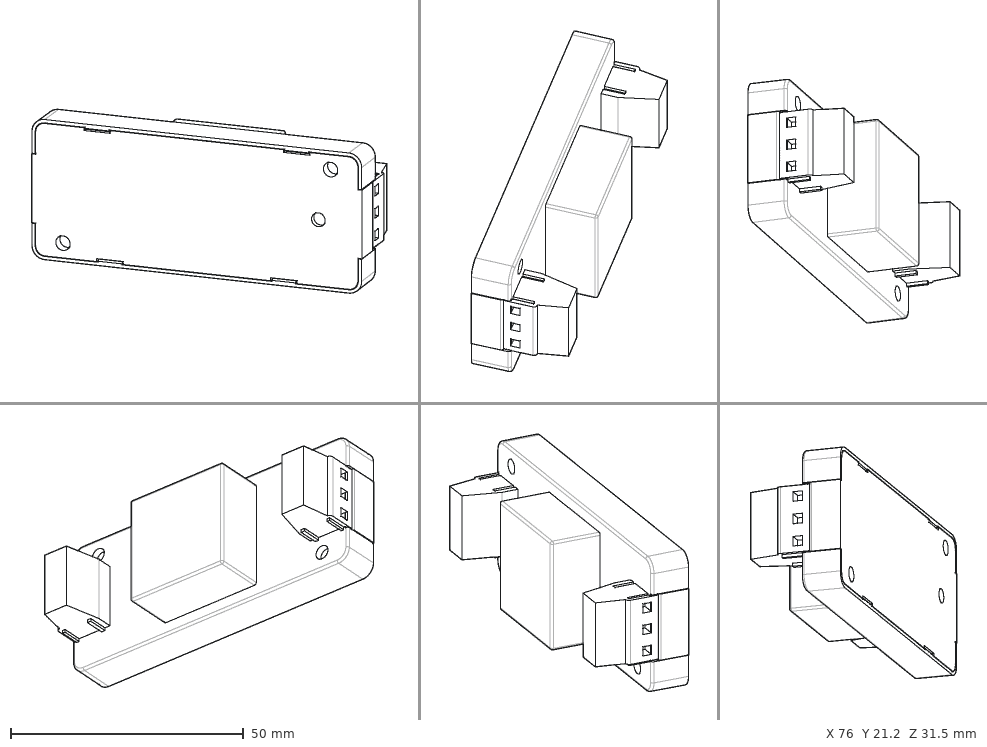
import cadquery as cq
import math

length = 76.0
width = 31.5
total_height = 21.2
draft_angle = 0.3
clearance = 0.115
edge_radius = 0.5

panel_step = 0.1
cover_length = length - 2 * panel_step
cover_height = 8.8
corner_radius = 3.0
wall = 0.75
cavity_height = 7.15
cavity_length = cover_length - 2 * wall
cavity_width = width - 2 * wall
dome_size = 25.4
dome_top = 20.5

plate_length = cavity_length - 2 * clearance
plate_width = cavity_width - 2 * clearance
plate_radius = corner_radius - wall - clearance
plate_thickness = 2.5
panel_width = 15.4
panel_thickness = length / 2 - plate_length / 2
slot_width = panel_width + 2 * clearance

mount_x = 30.8
mount_z = 11.55
mount_diameter = 3.3
blind_x = 28.0
blind_diameter = 3.1
blind_depth = 1.4

upper_hook_x = 22.95
lower_hook_x = 20.0
hook_width = 5.5
hook_reach = 0.6
hook_flat = 0.2
hook_height = 1.4
notch_side_gap = 0.3
notch_width = hook_width + 2 * notch_side_gap

terminal_width = 15.0
terminal_outer_x = 37.7
terminal_inner_x = 27.6
terminal_top_outer_x = 35.65
terminal_top_inner_x = 29.65
inner_slope_start = 12.6
shoulder_height = 13.75
shoulder_radius = 0.8
wire_hole_size = 2.1
wire_hole_depth = 3.05
wire_hole_height = 9.8
wire_hole_pitch = 5.0
rib_top = 13.7
rib_reach = 0.7
outer_rib = (36.4, 0.7)
inner_rib = (29.4, 0.9)

hook_places = [(side * x, z_side) for x, z_side in ((upper_hook_x, 1), (lower_hook_x, -1)) for side in (-1, 1)]


def block(x_size, z_size, y_start, y_end, x=0.0, z=0.0):
    """Box centred on x and z that spans y_start to y_end."""
    return cq.Workplane("XY").box(x_size, y_end - y_start, z_size).translate((x, (y_start + y_end) / 2, z))


def rounded_slab(x_size, z_size, height, radius, taper=0.0):
    """Slab rising from Y = 0 with rounded corners and optionally drafted sides."""
    outline = cq.Sketch().rect(z_size, x_size).vertices().fillet(radius)
    return cq.Workplane("ZX").placeSketch(outline).extrude(height, taper=taper)


def mounting_holes():
    """Two diagonally placed drills that pass through cover and base."""
    centres = [(mount_z, mount_x), (-mount_z, -mount_x)]
    return cq.Workplane("ZX").pushPoints(centres).circle(mount_diameter / 2).extrude(cover_height)


def snap_hook(x, z_side):
    """Tooth on the inside of a long wall with a sloping lead-in."""
    root_z = cavity_width / 2
    tip_z = root_z - hook_reach
    anchor_z = root_z + wall / 2
    profile = [
        (0, anchor_z),
        (0, root_z - hook_flat),
        (hook_height / 2, tip_z),
        (hook_height, tip_z),
        (hook_height, anchor_z),
    ]
    hook = cq.Workplane("YZ").polyline(profile).close().extrude(hook_width / 2, both=True)
    if z_side < 0:
        hook = hook.mirror("XY")
    return hook.translate((x, 0, 0))


def terminal_block():
    """Three-pole terminal at the -X end with grooves on +Z and matching ribs on -Z."""
    arc_offset = shoulder_radius * (1 - math.sqrt(0.5))
    shoulder_top = shoulder_height + shoulder_radius
    body = (
        cq.Workplane("XY")
        .moveTo(-terminal_outer_x, cavity_height)
        .lineTo(-terminal_outer_x, shoulder_height)
        .threePointArc(
            (-terminal_outer_x + arc_offset, shoulder_top - arc_offset),
            (-terminal_outer_x + shoulder_radius, shoulder_top),
        )
        .lineTo(-terminal_top_outer_x, total_height)
        .lineTo(-terminal_top_inner_x, total_height)
        .lineTo(-terminal_inner_x, inner_slope_start)
        .lineTo(-terminal_inner_x, cavity_height)
        .close()
        .extrude(terminal_width / 2, both=True)
    )
    for rib_x, thickness in (outer_rib, inner_rib):
        groove_z = terminal_width / 2 - rib_reach / 2
        rib_z = -terminal_width / 2 - rib_reach / 2
        body = body.cut(block(thickness, rib_reach, cover_height, rib_top, -rib_x, groove_z))
        body = body.union(block(thickness, rib_reach, cover_height, rib_top, -rib_x, rib_z))
    hole_x = -terminal_outer_x + wire_hole_depth / 2
    hole_start = wire_hole_height - wire_hole_size / 2
    for pole in (-1, 0, 1):
        hole = block(wire_hole_depth, wire_hole_size, hole_start, hole_start + wire_hole_size,
                     hole_x, pole * wire_hole_pitch)
        body = body.cut(hole)
    return body


def make_cover():
    shell = rounded_slab(cover_length, width, cover_height, corner_radius, draft_angle)
    shell = shell.faces(">Y").edges().fillet(edge_radius)
    shell = shell.cut(rounded_slab(cavity_length, cavity_width, cavity_height, corner_radius - wall))

    for side in (-1, 1):
        slot_x = side * (cavity_length / 2 + wall / 2)
        shell = shell.cut(block(wall, slot_width, 0, cover_height, slot_x))

    dome = block(dome_size, dome_size, cavity_height, dome_top)
    dome = dome.edges("|Y or >Y").fillet(edge_radius)
    shell = shell.union(dome)

    terminal = terminal_block()
    shell = shell.union(terminal).union(terminal.mirror("YZ"))
    for x, z_side in hook_places:
        shell = shell.union(snap_hook(x, z_side))
    return shell.cut(mounting_holes())


def end_panel():
    """Upright panel at the +X end with a drafted outer face and a rounded top edge."""
    top_x = length / 2 - cavity_height * math.tan(math.radians(draft_angle))
    inner_x = length / 2 - panel_thickness
    profile = [(inner_x, 0), (length / 2, 0), (top_x, cavity_height), (inner_x, cavity_height)]
    panel = cq.Workplane("XY").polyline(profile).close().extrude(panel_width / 2, both=True)
    return panel.edges(">Y and |Z").edges(">X").fillet(edge_radius)


def make_base():
    plate = rounded_slab(plate_length, plate_width, plate_thickness, plate_radius)
    panel = end_panel()
    plate = plate.union(panel).union(panel.mirror("YZ"))
    for x, z_side in hook_places:
        notch_z = z_side * cavity_width / 2
        notch_depth = hook_reach + clearance
        plate = plate.cut(block(notch_width, 2 * notch_depth, 0, plate_thickness, x, notch_z))
    blind_hole = cq.Workplane("ZX").center(0, blind_x).circle(blind_diameter / 2).extrude(blind_depth)
    return plate.cut(blind_hole).cut(mounting_holes())


cover = make_cover()
base = make_base()
result = cq.Compound.makeCompound([cover.solids().val(), base.solids().val()])